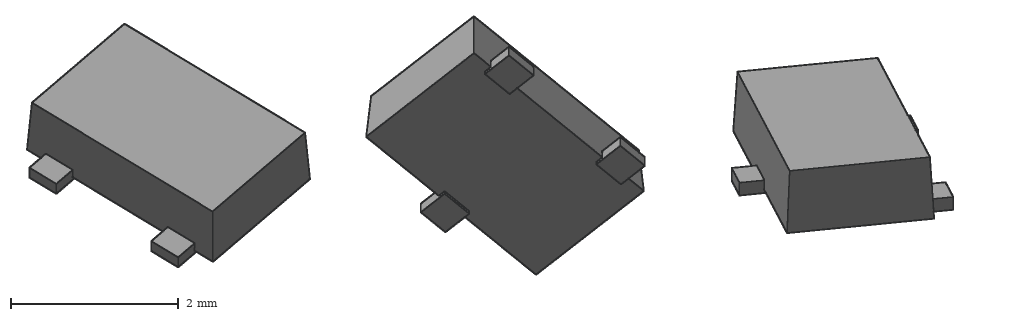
import cadquery as cq

body_length = 2.9
body_width = 1.8
body_height = 0.8
draft_angle = 3.0
standoff = 0.05

lead_span = 2.4
lead_length = 0.4
lead_width = 0.42
lead_thickness = 0.17
lead_pitch = 1.9


def make_body():
    """Block whose four sides lean inward towards the top."""
    return (
        cq.Workplane("XY")
        .workplane(offset=standoff)
        .rect(body_length, body_width)
        .extrude(body_height, taper=draft_angle)
    )


def make_lead(x, side):
    """Flat lead resting on the seating plane; side is -1 for -Y, +1 for +Y."""
    y = side * (lead_span - lead_length) / 2
    return (
        cq.Workplane("XY")
        .center(x, y)
        .rect(lead_width, lead_length)
        .extrude(lead_thickness)
    )


lead_places = [(-lead_pitch / 2, -1), (lead_pitch / 2, -1), (0, 1)]

result = make_body()
for lead_x, lead_side in lead_places:
    result = result.union(make_lead(lead_x, lead_side))